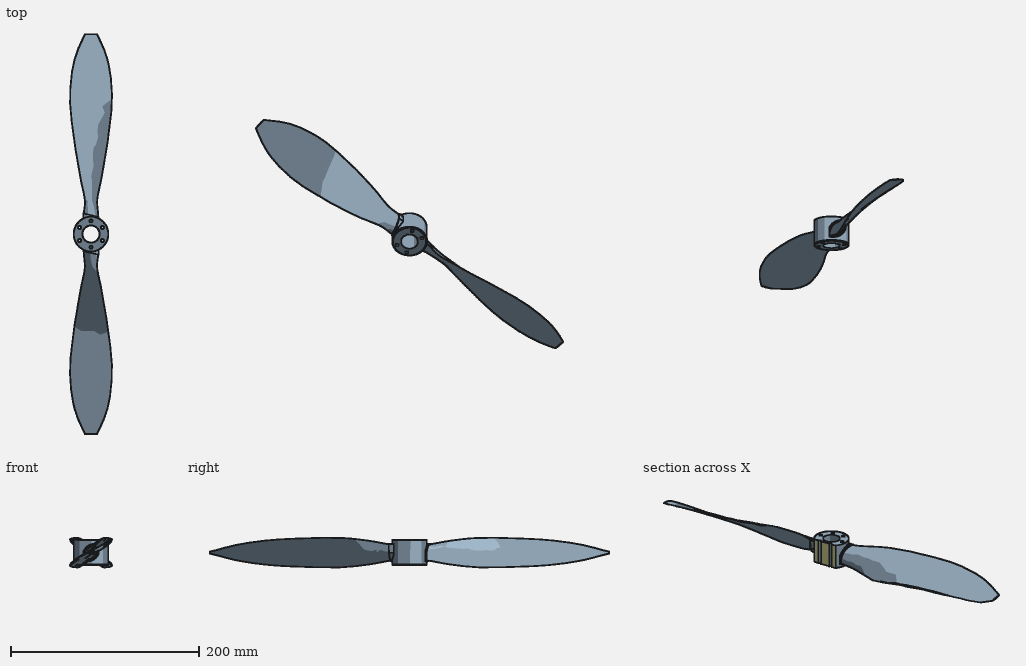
import cadquery as cq
import math

HUB_DIAMETER = 37.0
HUB_HEIGHT = 27.0
HUB_RADIUS = HUB_DIAMETER / 2
BORE_DIAMETER = 18.0
HUB_BOTTOM_CHAMFER = 1.0

HOLE_COUNT = 6
HOLE_DIAMETER = 3.2
HOLE_CIRCLE_RADIUS = 13.9
FIRST_HOLE_ANGLE = 30.0
BLIND_HOLE_DEPTH = 8.0

COLLAR_HALF_WIDTH = 8.4
COLLAR_HALF_HEIGHT = 9.0
COLLAR_THICKNESS = 15.0
COLLAR_LEADING_REACH = 22.0
COLLAR_TRAILING_REACH = 18.0

BLADE_COUNT = 2
PROPELLER_RADIUS = 424.56 / 2
BLADE_START_RADIUS = 16.0

BLADE_STATIONS = [
    (BLADE_START_RADIUS, 7.2, 8.6, 12.0),
    (27.0, 6.9, 9.8, 10.0),
    (38.0, 6.9, 11.9, 8.0),
    (52.0, 9.8, 13.9, 6.2),
    (69.0, 12.9, 15.6, 5.0),
    (92.0, 16.9, 15.87, 3.8),
    (115.0, 20.1, 15.2, 3.0),
    (142.0, 22.42, 13.9, 2.5),
    (163.0, 21.5, 11.7, 2.2),
    (184.0, 17.9, 8.2, 1.8),
    (201.0, 11.8, 3.9, 1.5),
    (PROPELLER_RADIUS, 6.4, 1.0, 1.2),
]


def make_hub():
    """Plain cylinder centred on the origin, chamfered on its lower rim."""
    hub = cq.Workplane("XY").workplane(offset=-HUB_HEIGHT / 2).circle(HUB_RADIUS).extrude(HUB_HEIGHT)
    return hub.faces("<Z").edges().chamfer(HUB_BOTTOM_CHAMFER)


def blade_section(radius, half_width, half_height, thickness):
    """Lens-shaped wire across the -Y blade, bounded by two arcs from edge to edge."""
    half_chord = math.hypot(half_width, half_height)
    bulge_x = thickness / 2 * half_height / half_chord
    bulge_z = thickness / 2 * half_width / half_chord
    trailing = cq.Vector(-half_width, -radius, -half_height)
    leading = cq.Vector(half_width, -radius, half_height)
    upper = cq.Edge.makeThreePointArc(trailing, cq.Vector(-bulge_x, -radius, bulge_z), leading)
    lower = cq.Edge.makeThreePointArc(leading, cq.Vector(bulge_x, -radius, -bulge_z), trailing)
    return cq.Wire.assembleEdges([upper, lower])


def make_blade():
    """Twisted blade along -Y, lofted through its stations."""
    sections = [blade_section(*station) for station in BLADE_STATIONS]
    return cq.Workplane(obj=cq.Solid.makeLoft(sections))


def make_collar():
    """Short lens-shaped stub under the -Y blade root, trimmed to its slanted end face."""
    section = (COLLAR_HALF_WIDTH, COLLAR_HALF_HEIGHT, COLLAR_THICKNESS)
    inner = blade_section(BORE_DIAMETER / 2, *section)
    outer = blade_section(COLLAR_LEADING_REACH, *section)
    stub = cq.Workplane(obj=cq.Solid.makeLoft([inner, outer]))
    envelope = (
        cq.Workplane("XY")
        .moveTo(-COLLAR_HALF_WIDTH, 0)
        .lineTo(-COLLAR_HALF_WIDTH, -COLLAR_TRAILING_REACH)
        .lineTo(COLLAR_HALF_WIDTH, -COLLAR_LEADING_REACH)
        .lineTo(COLLAR_HALF_WIDTH, 0)
        .close()
        .extrude(HUB_HEIGHT / 2, both=True)
    )
    return stub.intersect(envelope)


def around_hub(shape):
    """The shape repeated at every blade position around Z."""
    step = 360 / BLADE_COUNT
    repeated = shape
    for index in range(1, BLADE_COUNT):
        repeated = repeated.union(shape.rotate((0, 0, 0), (0, 0, 1), index * step))
    return repeated


def make_bore():
    """Cutter for the central through bore."""
    return cq.Workplane("XY").circle(BORE_DIAMETER / 2).extrude(HUB_HEIGHT, both=True)


def make_screw_hole(angle):
    """Cutter for one screw hole: blind where it sits over a blade, through elsewhere."""
    direction = math.radians(angle)
    over_blade = math.isclose(math.cos(direction), 0, abs_tol=1e-6)
    depth = BLIND_HOLE_DEPTH if over_blade else HUB_HEIGHT
    center = (HOLE_CIRCLE_RADIUS * math.cos(direction), HOLE_CIRCLE_RADIUS * math.sin(direction))
    top = cq.Workplane("XY").workplane(offset=HUB_HEIGHT / 2)
    return top.center(*center).circle(HOLE_DIAMETER / 2).extrude(-depth)


result = make_hub().union(around_hub(make_collar().union(make_blade())))
result = result.cut(make_bore())
for hole_index in range(HOLE_COUNT):
    hole_angle = FIRST_HOLE_ANGLE + hole_index * 360 / HOLE_COUNT
    result = result.cut(make_screw_hole(hole_angle))